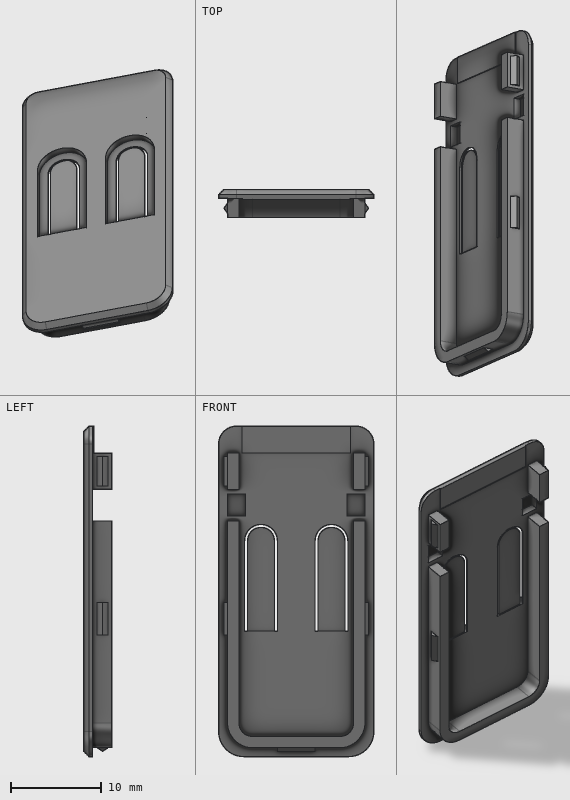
import cadquery as cq


plate_width = 17.2
plate_height = 36.6
plate_thickness = 1.0
top_corner_radius = 2.0
bottom_corner_radius = 2.8
back_chamfer = 0.6

rim_margin = 1.0
wall_depth = 2.12
wall_thickness = 1.25
wall_corner_radius = 2.75
wall_top_drop = 10.5
block_top_drop = 3.0
block_height = 4.0

strip_width = 12.0
strip_rise = 0.12

recess_width = 2.0
recess_height = 2.45
recess_top_drop = 7.5
recess_depth = 0.85

slot_width = 3.6
slot_center_x = 3.9
slot_top_drop = 10.9
slot_base_drop = 22.7
slot_gap = 0.3
skin_thickness = 0.2
tongue_setback = 0.15
tongue_thickness = 0.2
relief_margin = 1.0

ridge_reach = 0.4
ridge_base = 1.2
ridge_standoff = 1.1
upper_ridge_top_drop = 3.35
upper_ridge_length = 3.3
lower_ridge_top_drop = 19.5
lower_ridge_length = 3.6
bottom_ridge_length = 4.1

top_z = plate_height / 2
wall_bottom_z = -top_z + rim_margin
slot_base_z = top_z - slot_base_drop
slot_top_z = top_z - slot_top_drop
wall_outer_x = plate_width / 2 - rim_margin
wall_inner_x = wall_outer_x - wall_thickness


def box(x_range, y_range, z_range):
    """Box spanning the given (low, high) ranges."""
    low, high = zip(x_range, y_range, z_range)
    size = [b - a for a, b in zip(low, high)]
    return cq.Workplane("XY").box(*size, centered=False).translate(low)


def both_sides(shape):
    """The shape at +X together with its mirror image at -X."""
    return shape.union(shape.mirror("YZ"))


def arch(width, top, y_front, y_back):
    """Round-topped panel on the +X side, standing on the slot base."""
    left = slot_center_x - width / 2
    right = slot_center_x + width / 2
    spring_z = top - width / 2
    return (
        cq.Workplane("XZ", origin=(0, y_back, 0))
        .moveTo(left, slot_base_z)
        .lineTo(left, spring_z)
        .threePointArc((slot_center_x, top), (right, spring_z))
        .lineTo(right, slot_base_z)
        .close()
        .extrude(y_back - y_front)
    )


def make_plate():
    """Rounded plate with a chamfer around its back face."""
    plate = (
        cq.Workplane("XZ", origin=(0, plate_thickness, 0))
        .rect(plate_width, plate_height)
        .extrude(plate_thickness)
    )
    plate = plate.edges("|Y and >Z").fillet(top_corner_radius)
    plate = plate.edges("|Y and <Z").fillet(bottom_corner_radius)
    return plate.faces(">Y").chamfer(back_chamfer)


def make_wall():
    """U-shaped wall, open at the top, with concentric bottom corners."""

    def rounded_block(half_width, bottom, radius):
        block = box((-half_width, half_width), (-wall_depth, 0), (bottom, top_z - wall_top_drop))
        return block.edges("|Y and <Z").fillet(radius)

    outer = rounded_block(wall_outer_x, wall_bottom_z, wall_corner_radius)
    inner = rounded_block(
        wall_inner_x, wall_bottom_z + wall_thickness, wall_corner_radius - wall_thickness
    )
    return outer.cut(inner)


def make_block():
    """Block in line with the wall, carrying an upper ridge."""
    block_top_z = top_z - block_top_drop
    return box(
        (wall_inner_x, wall_outer_x), (-wall_depth, 0), (block_top_z - block_height, block_top_z)
    )


def make_strip():
    """Thin raised strip between the plate's top edge and the level of the block tops."""
    return box((-strip_width / 2, strip_width / 2), (-strip_rise, 0), (top_z - block_top_drop, top_z))


def make_recess():
    """Blind square recess flush with the outside of the wall."""
    recess_top_z = top_z - recess_top_drop
    return box(
        (wall_outer_x - recess_width, wall_outer_x),
        (0, recess_depth),
        (recess_top_z - recess_height, recess_top_z),
    )


def make_slot():
    """Slot through the skin, opening into a wider relief at the back."""
    opening = arch(slot_width, slot_top_z, 0, plate_thickness)
    relief = arch(
        slot_width + 2 * relief_margin, slot_top_z + relief_margin, skin_thickness, plate_thickness
    )
    return opening.union(relief)


def make_tongue():
    """Thin tongue rooted at the slot base, set back from the front face."""
    return arch(
        slot_width - 2 * slot_gap,
        slot_top_z - slot_gap,
        tongue_setback,
        tongue_setback + tongue_thickness,
    )


def make_cover():
    cover = make_plate().union(make_wall()).union(make_strip())
    cover = cover.union(both_sides(make_block()))
    cover = cover.cut(both_sides(make_recess()))
    cover = cover.cut(both_sides(make_slot()))
    return cover.union(both_sides(make_tongue()))


def make_ridge(length):
    """Triangular ridge along Z, with its base on X = 0 and its crest toward +X."""
    half_base = ridge_base / 2
    return (
        cq.Workplane("XY")
        .polyline([(0, -half_base), (ridge_reach, 0), (0, half_base)])
        .close()
        .extrude(length / 2, both=True)
    )


def make_side_ridges():
    """Upper and lower ridges on both sides of the wall."""
    side_ridges = []
    for drop, length in (
        (upper_ridge_top_drop, upper_ridge_length),
        (lower_ridge_top_drop, lower_ridge_length),
    ):
        middle_z = top_z - drop - length / 2
        ridge = make_ridge(length).translate((wall_outer_x, -ridge_standoff, middle_z))
        side_ridges += [ridge.val(), ridge.mirror("YZ").val()]
    return side_ridges


def make_bottom_ridge():
    """Ridge under the bottom of the wall, crest pointing down."""
    ridge = make_ridge(bottom_ridge_length).rotate((0, 0, 0), (0, 1, 0), 90)
    return ridge.translate((0, -ridge_standoff, wall_bottom_z))


cover = make_cover()
side_ridges = make_side_ridges()
bottom_ridge = make_bottom_ridge()

result = cq.Compound.makeCompound([cover.val(), *side_ridges, bottom_ridge.val()])